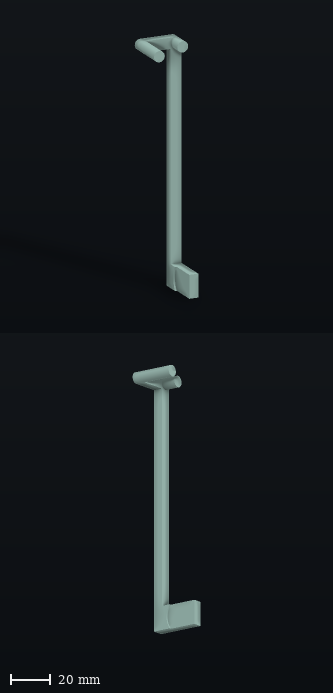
import cadquery as cq
import math

total_length = 25.0
total_height = 133.0
pin_diameter = 6.0
pin_radius = pin_diameter / 2
pin_spacing = 17.78
bar_width = 5.0

front_pin_length = 23.0
rear_pin_length = 13.0

foot_height = 12.7
relief_depth = 1.0
relief_radius = 10.5
relief_start = 8.0

pin_axis_z = total_height - pin_radius
front_pin_y = -pin_spacing


def make_pin(axis_y, length):
    """Round pin running along X from the outer side face."""
    return (
        cq.Workplane("YZ")
        .center(axis_y, pin_axis_z)
        .circle(pin_radius)
        .extrude(length)
    )


def make_post():
    """Straight upright ending at the rear pin axis."""
    return cq.Workplane("XY").box(
        bar_width, pin_diameter, pin_axis_z, centered=(False, True, False)
    )


def make_arm():
    """Horizontal bar joining the two pin axes."""
    return (
        cq.Workplane("XY", origin=(0, front_pin_y, pin_axis_z - pin_radius))
        .box(bar_width, pin_spacing, pin_diameter, centered=False)
    )


def make_foot():
    """Block whose front face is thinned beyond a rounded edge."""
    foot = cq.Workplane("XY").box(
        total_length, pin_diameter, foot_height, centered=(False, True, False)
    )
    half_height = foot_height / 2
    edge_center_x = relief_start + relief_radius
    edge_end_x = edge_center_x - math.sqrt(relief_radius**2 - half_height**2)
    relief = (
        cq.Workplane("XZ", origin=(0, -pin_radius + relief_depth, 0))
        .moveTo(total_length, 0)
        .lineTo(edge_end_x, 0)
        .threePointArc((relief_start, half_height), (edge_end_x, foot_height))
        .lineTo(total_length, foot_height)
        .close()
        .extrude(relief_depth)
    )
    return foot.cut(relief)


result = (
    make_post()
    .union(make_arm())
    .union(make_pin(0, rear_pin_length))
    .union(make_pin(front_pin_y, front_pin_length))
    .union(make_foot())
    .clean()
)